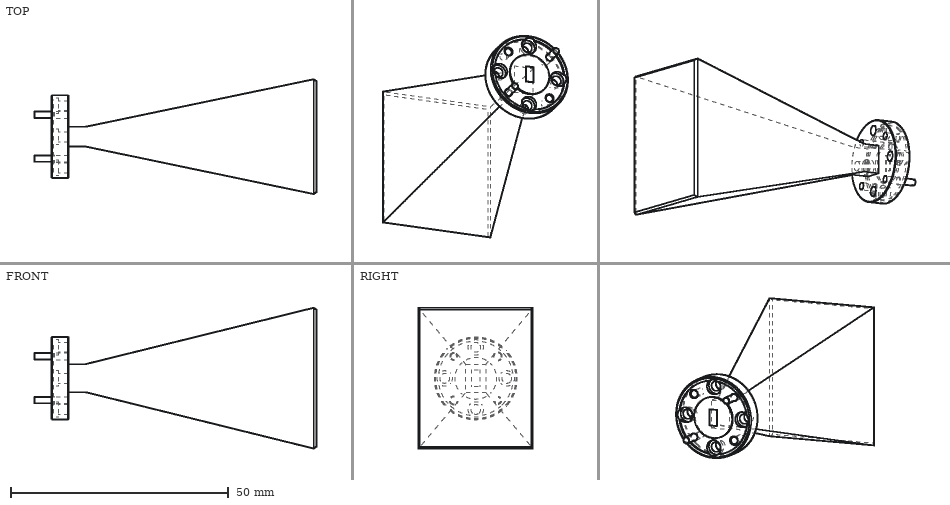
import cadquery as cq
import math

flange_diameter = 19.05
flange_thickness = 4.04
front_chamfer = 0.3
back_chamfer = 0.15
groove_inner_diameter = 9.6
groove_outer_diameter = 17.2
groove_depth = 0.5
port_width = 1.88
port_height = 2 * port_width
port_depth = 0.25

bolt_circle_radius = 7.14
bolt_count = 4
bolt_angle = 360 / bolt_count
bolt_hole_diameter = 2.25
counterbore_diameter = 3.55
counterbore_depth = 1.6
locating_hole_diameter = 1.65
locating_hole_chamfer = 0.2

pin_diameter = 1.55
pin_end_chamfer = 0.1
pin_hole_chamfer = 0.13
pin_projection = 3.81
pin_angles = (-45, 135)
locating_hole_angles = (45, 225)

overall_length = 64.83
neck_length = 3.9
neck_width = 4.6
neck_height = 6.5
flare_length = 52.4
mouth_width = 26.43
mouth_height = 32.4
lip_length = overall_length - pin_projection - flange_thickness - neck_length - flare_length
lip_inset = 0.45


def bolt_circle_point(angle):
    """Y and Z of a point on the bolt circle; 0 degrees is +Y and 90 degrees is +Z."""
    turn = math.radians(angle)
    return bolt_circle_radius * math.cos(turn), bolt_circle_radius * math.sin(turn)


def rod(points, diameter, start, length):
    """Rods along +X from X = start, one at each (Y, Z) point."""
    plane = cq.Workplane("YZ", origin=(start, 0, 0))
    return plane.pushPoints(points).circle(diameter / 2).extrude(length)


def frustum(start, length, start_size, end_size):
    """A four-sided block along X whose (width, height) runs from start_size to end_size."""
    return (
        cq.Workplane("YZ", origin=(start, 0, 0))
        .rect(*start_size)
        .workplane(offset=length)
        .rect(*end_size)
        .loft(ruled=True)
    )


def cut_chamfered_holes(body, points, diameter, chamfer):
    """Cut holes through the flange, each chamfered where it opens on the groove floor."""
    body = body.cut(rod(points, diameter, 0, flange_thickness))
    for y, z in points:
        countersink = (
            cq.Workplane("YZ", origin=(groove_depth, y, z))
            .circle(diameter / 2 + chamfer)
            .workplane(offset=chamfer)
            .circle(diameter / 2)
            .loft()
        )
        body = body.cut(countersink)
    return body


def make_flange():
    centre = [(0, 0)]
    body = rod(centre, flange_diameter, 0, flange_thickness)
    body = body.faces("<X").edges().chamfer(front_chamfer)
    body = body.faces(">X").edges().chamfer(back_chamfer)

    groove = rod(centre, groove_outer_diameter, 0, groove_depth)
    groove = groove.cut(rod(centre, groove_inner_diameter, 0, groove_depth))
    port = cq.Workplane("YZ").rect(port_width, port_height).extrude(port_depth)
    body = body.cut(groove).cut(port)

    bolts = [bolt_circle_point(i * bolt_angle) for i in range(bolt_count)]
    body = body.cut(rod(bolts, bolt_hole_diameter, 0, flange_thickness))
    body = body.cut(rod(bolts, counterbore_diameter, 0, counterbore_depth))

    locating_holes = [bolt_circle_point(angle) for angle in locating_hole_angles]
    body = cut_chamfered_holes(body, locating_holes, locating_hole_diameter, locating_hole_chamfer)
    pin_holes = [bolt_circle_point(angle) for angle in pin_angles]
    return cut_chamfered_holes(body, pin_holes, pin_diameter, pin_hole_chamfer)


def make_pin(angle):
    length = pin_projection + flange_thickness
    pin = rod([bolt_circle_point(angle)], pin_diameter, -pin_projection, length)
    return pin.faces("<X").edges().chamfer(pin_end_chamfer)


def make_horn():
    neck_size = (neck_width, neck_height)
    mouth_size = (mouth_width, mouth_height)
    lip_size = (mouth_width - 2 * lip_inset, mouth_height - 2 * lip_inset)
    flare_start = flange_thickness + neck_length
    lip_start = flare_start + flare_length

    neck = frustum(flange_thickness, neck_length, neck_size, neck_size)
    flare = frustum(flare_start, flare_length, neck_size, mouth_size)
    lip = frustum(lip_start, lip_length, mouth_size, lip_size)
    return neck.union(flare).union(lip)


flange = make_flange()
pins = [make_pin(angle) for angle in pin_angles]
horn = make_horn()

result = cq.Compound.makeCompound([flange.val(), *[pin.val() for pin in pins], horn.val()])